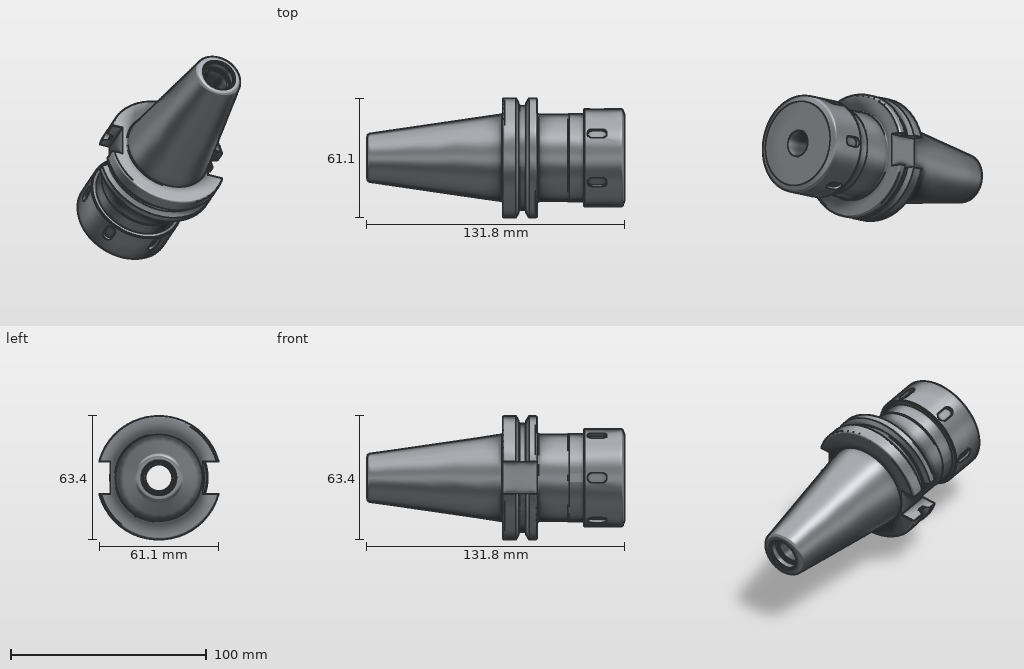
import cadquery as cq
import math

OVERALL_LENGTH = 131.8
CUT_MARGIN = 1.3
SELECT_TOLERANCE = 0.01
QUARTER_TURN = math.pi / 2

TAPER_LENGTH = 68.2
TAPER_SLOPE = 7 / 48
NECK_RADIUS = 44.4 / 2
NECK_FILLET = 0.4
TIP_RADIUS = NECK_RADIUS - TAPER_SLOPE * TAPER_LENGTH
TIP_FILLET = 2.0

FLANGE_START = 69.3
FLANGE_END = 87.0
FLANGE_RADIUS = 63.4 / 2
FLANGE_FILLET = 1.0
GROOVE_CENTER = 79.5
GROOVE_WIDTH = 6.7
GROOVE_FLOOR_WIDTH = 3.5
GROOVE_FLOOR_RADIUS = 27.9
GROOVE_WALL_ANGLE = 30.0
GROOVE_FILLET = 0.4

DRIVE_SLOT_WIDTH = 16.2
DRIVE_SLOT_CHAMFER = 0.3
FRONT_SLOT_FLOOR = 22.4
BACK_SLOT_FLOOR = 24.9

SLEEVE_RADIUS = 44.7 / 2
SLEEVE_FILLET = 0.9
COLLAR_START = 103.3
COLLAR_RADIUS = 45.0 / 2
COLLAR_FLAT_WIDTH = 4.5

BORE_RADIUS = 13.5 / 2
MOUTH_CHAMFER = 0.7
PILOT_RADIUS = 16.7 / 2
PILOT_DEPTH = 1.3
SEAT_RADIUS = 16.3 / 2
SEAT_DEPTH = 4.6
LAND_RADIUS = 15.5 / 2
LAND_DEPTH = 5.8

NUT_START = 110.8
NUT_RADIUS = 50 / 2
NUT_REAR_CHAMFER = 0.5
NUT_FACE_RADIUS = 43.5 / 2
NUT_BEVEL_LENGTH = 1.2
NUT_BEVEL_FILLET = 1.3
WRENCH_SLOT_COUNT = 6
WRENCH_SLOT_LENGTH = 10.0
WRENCH_SLOT_WIDTH = 5.1
WRENCH_SLOT_DEPTH = 2.0
WRENCH_SLOT_CENTER = 117.7


def revolve_profile(points):
    """Turn a closed outline of (x, radius) points about the X axis."""
    return cq.Workplane("XY").polyline(points).close().revolve(360, (0, 0, 0), (1, 0, 0))


def circle_at(x, radius):
    """Selector for the circle of the given radius about the X axis in the plane at x."""
    reach = radius + SELECT_TOLERANCE
    return cq.selectors.BoxSelector(
        (x - SELECT_TOLERANCE, -reach, -reach),
        (x + SELECT_TOLERANCE, reach, reach),
        boundingbox=True,
    )


def fillet_arc_middle(tangent_x, wall_direction, cylinder_radius, fillet_radius, turn):
    """Middle point of a concave fillet that leaves a cylinder and rises outward.

    The fillet touches the cylinder at tangent_x, heads toward +X or -X as
    wall_direction says, and turns through the angle turn (radians).
    """
    return (
        tangent_x + wall_direction * fillet_radius * math.sin(turn / 2),
        cylinder_radius + fillet_radius * (1 - math.cos(turn / 2)),
    )


def make_taper():
    """Taper with a rounded tip and a short neck filleted into the flange."""
    fillet_start = FLANGE_START - NECK_FILLET
    taper = (
        cq.Workplane("XY")
        .moveTo(0, 0)
        .lineTo(0, TIP_RADIUS)
        .lineTo(TAPER_LENGTH, NECK_RADIUS)
        .lineTo(fillet_start, NECK_RADIUS)
        .threePointArc(
            fillet_arc_middle(fillet_start, 1, NECK_RADIUS, NECK_FILLET, QUARTER_TURN),
            (FLANGE_START, NECK_RADIUS + NECK_FILLET),
        )
        .lineTo(FLANGE_START, 0)
        .close()
        .revolve(360, (0, 0, 0), (1, 0, 0))
    )
    return taper.faces("<X").edges().fillet(TIP_FILLET)


def make_flange_envelope():
    """Full turned flange with its V groove and rounded rims."""
    wall_run = (GROOVE_WIDTH - GROOVE_FLOOR_WIDTH) / 2
    wall_foot_radius = FLANGE_RADIUS - wall_run / math.tan(math.radians(GROOVE_WALL_ANGLE))
    groove_start = GROOVE_CENTER - GROOVE_WIDTH / 2
    groove_end = GROOVE_CENTER + GROOVE_WIDTH / 2
    floor_start = groove_start + wall_run
    floor_end = groove_end - wall_run
    envelope = revolve_profile([
        (FLANGE_START, 0),
        (FLANGE_START, FLANGE_RADIUS),
        (groove_start, FLANGE_RADIUS),
        (floor_start, wall_foot_radius),
        (floor_start, GROOVE_FLOOR_RADIUS),
        (floor_end, GROOVE_FLOOR_RADIUS),
        (floor_end, wall_foot_radius),
        (groove_end, FLANGE_RADIUS),
        (FLANGE_END, FLANGE_RADIUS),
        (FLANGE_END, 0),
    ])
    for x in (floor_start, floor_end):
        envelope = envelope.edges(circle_at(x, GROOVE_FLOOR_RADIUS)).fillet(GROOVE_FILLET)
    return envelope.faces("<X or >X").edges().fillet(FLANGE_FILLET)


def make_slotted_disc():
    """Plain disc as thick as the flange, with both drive slots and their broken edges."""
    thickness = FLANGE_END - FLANGE_START
    disc = cq.Workplane("YZ", origin=(FLANGE_START, 0, 0)).circle(FLANGE_RADIUS).extrude(thickness)
    for side, floor in ((-1, FRONT_SLOT_FLOOR), (1, BACK_SLOT_FLOOR)):
        slot_depth = FLANGE_RADIUS + CUT_MARGIN - floor
        slot_center = (FLANGE_START + thickness / 2, side * (floor + slot_depth / 2), 0)
        slot = cq.Workplane("XY").box(thickness + 2 * CUT_MARGIN, slot_depth, DRIVE_SLOT_WIDTH)
        disc = disc.cut(slot.translate(slot_center))

    broken_edges = disc.edges("|Y")
    rim_z = DRIVE_SLOT_WIDTH / 2
    rim_y = math.sqrt(FLANGE_RADIUS**2 - rim_z**2)
    for side in (-1, 1):
        rim = cq.selectors.BoxSelector(
            (FLANGE_START, side * rim_y - SELECT_TOLERANCE, -rim_z - SELECT_TOLERANCE),
            (FLANGE_END, side * rim_y + SELECT_TOLERANCE, rim_z + SELECT_TOLERANCE),
        )
        broken_edges = broken_edges.add(disc.edges("|X").edges(rim))
    return disc.newObject(broken_edges.vals()).chamfer(DRIVE_SLOT_CHAMFER)


def make_flange():
    return make_slotted_disc().intersect(make_flange_envelope())


def make_sleeve():
    """Sleeve with a concave fillet against the flange and another up to the collar."""
    step = COLLAR_RADIUS - SLEEVE_RADIUS
    collar_turn = math.acos(1 - step / SLEEVE_FILLET)
    sleeve_start = FLANGE_END + SLEEVE_FILLET
    sleeve_end = COLLAR_START - SLEEVE_FILLET * math.sin(collar_turn)
    return (
        cq.Workplane("XY")
        .moveTo(FLANGE_END, 0)
        .lineTo(FLANGE_END, SLEEVE_RADIUS + SLEEVE_FILLET)
        .threePointArc(
            fillet_arc_middle(sleeve_start, -1, SLEEVE_RADIUS, SLEEVE_FILLET, QUARTER_TURN),
            (sleeve_start, SLEEVE_RADIUS),
        )
        .lineTo(sleeve_end, SLEEVE_RADIUS)
        .threePointArc(
            fillet_arc_middle(sleeve_end, 1, SLEEVE_RADIUS, SLEEVE_FILLET, collar_turn),
            (COLLAR_START, COLLAR_RADIUS),
        )
        .lineTo(NUT_START, COLLAR_RADIUS)
        .lineTo(NUT_START, 0)
        .close()
        .revolve(360, (0, 0, 0), (1, 0, 0))
    )


def make_collar_flat():
    """Block that mills the shallow flat on the -Y side of the collar."""
    flat_distance = math.sqrt(COLLAR_RADIUS**2 - (COLLAR_FLAT_WIDTH / 2)**2)
    length = NUT_START - COLLAR_START
    block = cq.Workplane("XY").box(length, CUT_MARGIN, 2 * COLLAR_FLAT_WIDTH, centered=(False, False, True))
    return block.translate((COLLAR_START, -flat_distance - CUT_MARGIN, 0))


def make_holder_bore():
    """Stepped bore: chamfered mouth, pilot, seat, 45 degree cone down to a land, then the through hole."""
    return revolve_profile([
        (0, 0),
        (0, PILOT_RADIUS + MOUTH_CHAMFER),
        (MOUTH_CHAMFER, PILOT_RADIUS),
        (PILOT_DEPTH, PILOT_RADIUS),
        (PILOT_DEPTH, SEAT_RADIUS),
        (SEAT_DEPTH, SEAT_RADIUS),
        (SEAT_DEPTH + SEAT_RADIUS - LAND_RADIUS, LAND_RADIUS),
        (LAND_DEPTH, LAND_RADIUS),
        (LAND_DEPTH, BORE_RADIUS),
        (NUT_START, BORE_RADIUS),
        (NUT_START, 0),
    ])


def make_holder():
    holder = make_taper().union(make_flange()).union(make_sleeve())
    return holder.cut(make_collar_flat()).cut(make_holder_bore())


def make_wrench_slot(angle):
    """Slot cutter in the nut's side, at an angle about X measured from the -Y side."""
    slot = (
        cq.Workplane("XZ", origin=(WRENCH_SLOT_CENTER, -(NUT_RADIUS - WRENCH_SLOT_DEPTH), 0))
        .slot2D(WRENCH_SLOT_LENGTH, WRENCH_SLOT_WIDTH)
        .extrude(WRENCH_SLOT_DEPTH + CUT_MARGIN)
    )
    return slot.rotate((0, 0, 0), (1, 0, 0), angle)


def make_nut():
    bevel_start = OVERALL_LENGTH - NUT_BEVEL_LENGTH
    nut = revolve_profile([
        (NUT_START, BORE_RADIUS),
        (NUT_START, NUT_RADIUS - NUT_REAR_CHAMFER),
        (NUT_START + NUT_REAR_CHAMFER, NUT_RADIUS),
        (bevel_start, NUT_RADIUS),
        (OVERALL_LENGTH, NUT_FACE_RADIUS),
        (OVERALL_LENGTH, BORE_RADIUS),
    ])
    nut = nut.edges(circle_at(bevel_start, NUT_RADIUS)).fillet(NUT_BEVEL_FILLET)
    for i in range(WRENCH_SLOT_COUNT):
        nut = nut.cut(make_wrench_slot(i * 360 / WRENCH_SLOT_COUNT))
    return nut


holder = make_holder()
nut = make_nut()

result = cq.Compound.makeCompound([holder.val(), nut.val()])